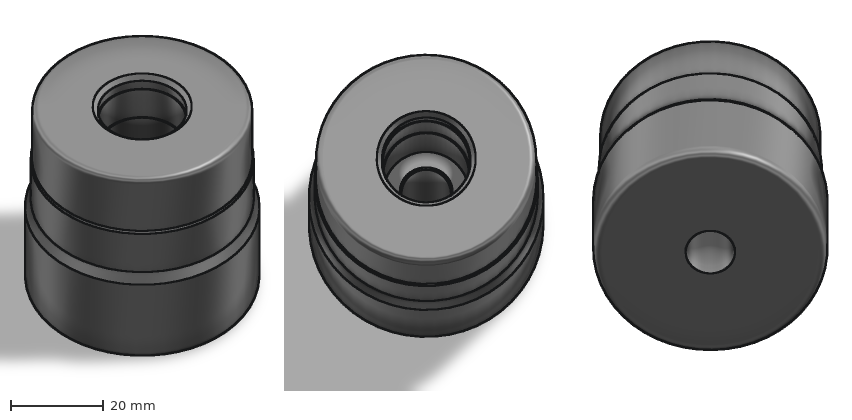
import cadquery as cq

height = 50.8
base_radius = 25.4
body_radius = 23.9
shoulder_bottom = 21.7
shoulder_height = 2.6
bottom_fillet = 2.05
top_fillet = 1.5

band_radius = 24.2
band_inner_radius = 22.85
band_top = 35.95
band_chamfer_width = 0.3
band_chamfer_height = 0.6

mouth_radius = 10.7
mouth_chamfer = 1.1
upper_bore_radius = mouth_radius - mouth_chamfer
upper_bore_depth = 3.45
middle_bore_radius = 9.45
middle_bore_depth = 11.55
lower_bore_radius = 9.25
bore_depth = 25.4
through_radius = 5.35
through_chamfer = 0.4

band_bottom = shoulder_bottom + shoulder_height


def revolve_profile(points):
    """Solid of revolution about Z from (radius, height) points."""
    return cq.Workplane("XZ").polyline(points).close().revolve(360, (0, 0, 0), (0, 1, 0))


def make_band():
    """Ring with a chamfered upper outer edge."""
    return revolve_profile([
        (band_inner_radius, band_bottom),
        (band_radius, band_bottom),
        (band_radius, band_top - band_chamfer_height),
        (band_radius - band_chamfer_width, band_top),
        (band_inner_radius, band_top),
    ])


def make_blank():
    """Outside of the core, with rounded ends and a conical shoulder."""
    blank = revolve_profile([
        (0, 0),
        (base_radius, 0),
        (base_radius, shoulder_bottom),
        (band_radius, band_bottom),
        (body_radius, band_bottom),
        (body_radius, height),
        (0, height),
    ])
    return blank.faces("<Z").edges().fillet(bottom_fillet).faces(">Z").edges().fillet(top_fillet)


def make_bore():
    """Chamfered three-step bore that continues as a smaller through hole."""
    floor = height - bore_depth
    upper_step = height - upper_bore_depth
    middle_step = height - middle_bore_depth
    return revolve_profile([
        (0, 0),
        (through_radius, 0),
        (through_radius, floor - through_chamfer),
        (through_radius + through_chamfer, floor),
        (lower_bore_radius, floor),
        (lower_bore_radius, middle_step),
        (middle_bore_radius, middle_step),
        (middle_bore_radius, upper_step),
        (upper_bore_radius, upper_step),
        (upper_bore_radius, height - mouth_chamfer),
        (mouth_radius, height),
        (0, height),
    ])


band = make_band()
core = make_blank().cut(make_bore()).cut(band)

result = cq.Compound.makeCompound([core.val(), band.val()])